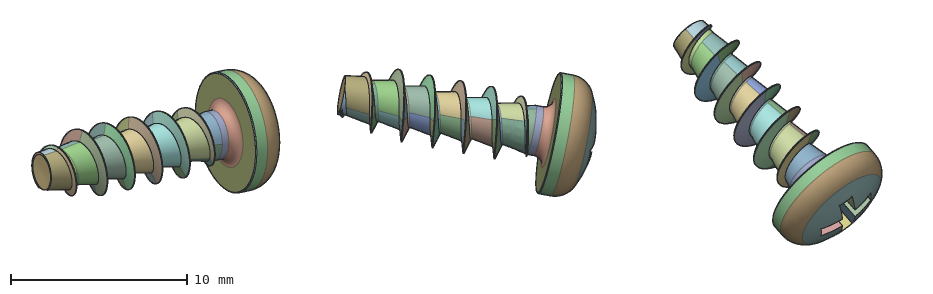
import cadquery as cq
import math


head_radius = 3.5
rim_height = 0.76
rim_chamfer = 0.06
shoulder_radius = 1.38
dome_edge_radius = 2.82
dome_height = 2.65

recess_span = 3.6
recess_width = 0.9
recess_depth = 1.46

total_length = 14.63
neck_radius = 1.42
neck_fillet = 0.59
neck_length = 1.01
neck_taper_length = 1.27
core_radius = 1.13
tip_radius = 1.05
tip_taper_length = 0.73

dimple_radius = 1.02
dimple_depth = 0.07

pitch = 1.8
first_crest_y = -1.71
crest_radius = 2.02
crest_width = 0.06
flank_angle = 15.0
first_turn = -0.6
full_height_turn = 0.6
run_out_turn = 4.25
last_turn = 5.7
run_in_rate = 0.47
run_out_rate = 0.59

ramp_high_radius = 1.39
ramp_low_radius = 1.11
ramp_length = 1.49
ramp_fade_turn = 4.6
high_fade_rate = 0.23
low_fade_rate = 0.09
buried_radius = 1.01

turns_per_face = 0.5
steps_per_face = 8

shoulder_x = head_radius - shoulder_radius
dome_edge_y = rim_height + math.sqrt(shoulder_radius**2 - (dome_edge_radius - shoulder_x) ** 2)
dome_sag = dome_height - dome_edge_y
dome_radius = (dome_edge_radius**2 + dome_sag**2) / (2 * dome_sag)


def dome_y(radius):
    """Height of the dome surface at a distance from the axis."""
    return dome_height - dome_radius + math.sqrt(dome_radius**2 - radius**2)


def arc_point(center_x, center_y, radius, degrees):
    angle = math.radians(degrees)
    return (center_x + radius * math.cos(angle), center_y + radius * math.sin(angle))


tip_y = dome_y(math.hypot(recess_width, recess_width) / 2) - total_length


def turned_body():
    """Head, neck and plain core as one revolved outline."""
    shoulder_end = math.degrees(math.acos((dome_edge_radius - shoulder_x) / shoulder_radius))
    dome_mid_x = dome_edge_radius / 2
    return (
        cq.Workplane("XY")
        .moveTo(0, tip_y + dimple_depth)
        .lineTo(dimple_radius, tip_y)
        .lineTo(tip_radius, tip_y)
        .lineTo(core_radius, tip_y + tip_taper_length)
        .lineTo(core_radius, -neck_length - neck_taper_length)
        .lineTo(neck_radius, -neck_length)
        .lineTo(neck_radius, -neck_fillet)
        .threePointArc(
            arc_point(neck_radius + neck_fillet, -neck_fillet, neck_fillet, 135),
            (neck_radius + neck_fillet, 0),
        )
        .lineTo(head_radius - rim_chamfer, 0)
        .lineTo(head_radius, rim_chamfer)
        .lineTo(head_radius, rim_height)
        .threePointArc(
            arc_point(shoulder_x, rim_height, shoulder_radius, shoulder_end / 2),
            (dome_edge_radius, dome_edge_y),
        )
        .threePointArc((dome_mid_x, dome_y(dome_mid_x)), (0, dome_height))
        .close()
        .revolve(360, (0, 0, 0), (0, 1, 0))
    )


def cross_recess():
    """Two crossing wings, one along X and one along Z."""
    wing = cq.Workplane("XY").box(recess_span, 2 * recess_depth, recess_width)
    crossing_wing = wing.rotate((0, 0, 0), (0, 1, 0), 90)
    return wing.union(crossing_wing).translate((0, dome_height, 0))


def helix_point(turn, drop, radius):
    """Point on the helix, moved a distance toward the tip, at a radius from the axis."""
    angle = 2 * math.pi * turn
    y = first_crest_y - pitch * turn - drop
    return cq.Vector(radius * math.cos(angle), y, radius * math.sin(angle))


def helical_solid(section, start, end):
    """Sweep a polygon section along the helix with ruled faces, in short stretches.

    section(turn) gives the corners as (distance toward the tip, radius) pairs.
    """
    stretches = math.ceil((end - start) / turns_per_face)
    stretch = (end - start) / stretches
    faces = []
    for index in range(stretches):
        first = start + index * stretch
        turns = [first + stretch * i / steps_per_face for i in range(steps_per_face + 1)]
        edges = []
        for corner_path in zip(*[section(turn) for turn in turns]):
            path = [helix_point(turn, *corner) for turn, corner in zip(turns, corner_path)]
            edges.append(cq.Edge.makeSpline(path, parameters=turns))
        faces += [cq.Face.makeRuledSurface(edges[i - 1], edges[i]) for i in range(len(edges))]

    for turn in (start, end):
        corners = [helix_point(turn, *corner) for corner in section(turn)]
        faces.append(cq.Face.makeFromWires(cq.Wire.makePolygon(corners, close=True)))
    return cq.Workplane(cq.Solid.makeSolid(cq.Shell.makeShell(faces)))


def thread_section(turn):
    """Thread and the tapered root that follows it, up to the next turn."""
    run_in_loss = run_in_rate * max(0, full_height_turn - turn)
    run_out_loss = run_out_rate * max(0, turn - run_out_turn)
    crest = crest_radius - run_in_loss - run_out_loss
    fade_turns = max(0, turn - ramp_fade_turn)
    high = ramp_high_radius - high_fade_rate * fade_turns
    low = ramp_low_radius - low_fade_rate * fade_turns

    half_crest = crest_width / 2
    flank_slope = math.tan(math.radians(flank_angle))
    half_root = half_crest + (crest - buried_radius) * flank_slope
    ramp_slope = (high - low) / ramp_length
    ramp_start = (half_crest + (crest - high) * flank_slope) / (1 - ramp_slope * flank_slope)
    return [
        (-half_root, buried_radius),
        (-half_crest, crest),
        (half_crest, crest),
        (ramp_start, high - ramp_slope * ramp_start),
        (ramp_length, low),
        (ramp_length, buried_radius),
    ]


def threaded_length():
    """Box that ends the thread at the neck and at the tip."""
    span = 4 * crest_radius
    length = -neck_length - tip_y
    return cq.Workplane("XY").box(span, length, span).translate((0, tip_y + length / 2, 0))


thread = helical_solid(thread_section, first_turn, last_turn).intersect(threaded_length())
result = turned_body().cut(cross_recess()).union(thread)